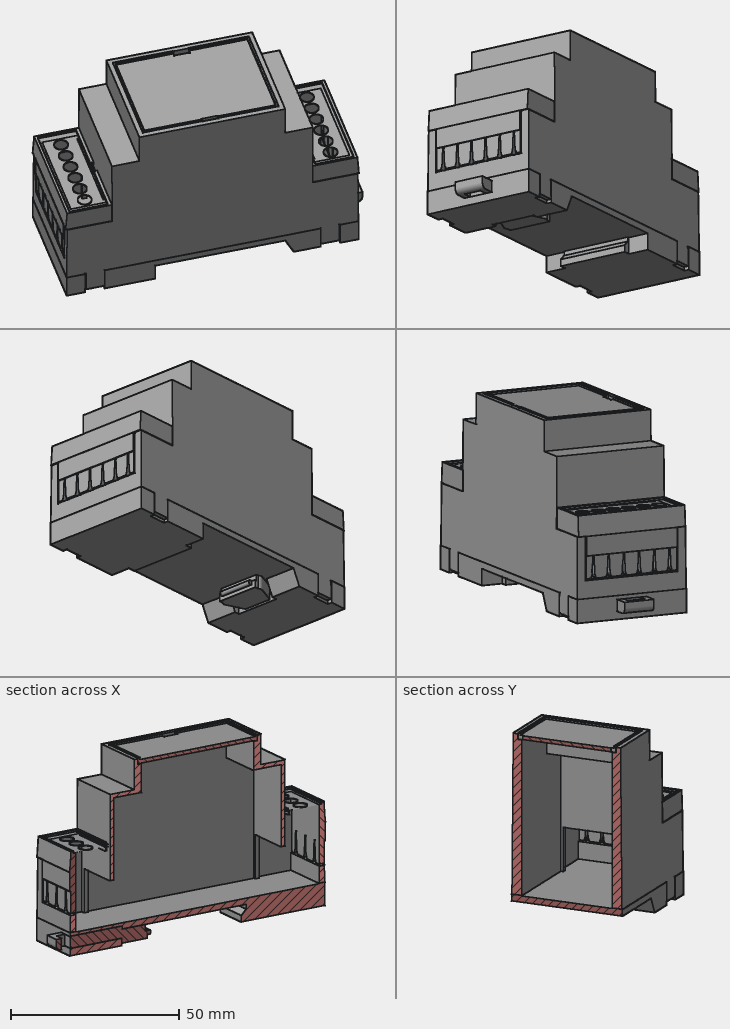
import cadquery as cq
import math


WIDTH = 36.4
LENGTH = 90.4
OVERALL_LENGTH = 95.6
DRAFT = math.tan(math.radians(0.5))
WALL = 1.4

BASE_TOP = 7.3
RAIL_ROOF = 5.2
COVER_SEAM = 26.2
COVER_TOP = 32.6
STEP_TOP = 48.1
CASE_TOP = 57.5
LID_TOP = 57.7

STEP_HALF_LENGTH = 31.1
TOWER_HALF_LENGTH = 22.6
CAVITY_HALF_WIDTH = 14.05
END_WALL_INNER = 43.1
PARTITION_BOTTOM = 21.0
LEG_BOTTOM = 1.05
LEG_INNER = 33.5
LEG_OUTER = 39.2
LEG_THICKNESS = 1.5
LEG_GAP = 0.3
WINDOW_HALF_WIDTH = 15.4
WINDOW_BOTTOM = 12.7

LID_HALF_WIDTH = 16.1
LID_HALF_LENGTH = 21.0
LID_THICKNESS = 1.9
LID_RIM = 0.7
LID_RECESS_DEPTH = 0.6
LID_LEDGE = 1.2
LID_NOTCH_DEPTH = 1.5
LID_NOTCH_LENGTH = 4.9

COVER_HALF_WIDTH = 17.8
COVER_END = 45.4
COVER_SLOPE = 0.5
COVER_RECESS_HALF_WIDTH = 17.1
COVER_RECESS_INNER = 32.1
COVER_RECESS_OUTER = 44.0
COVER_RECESS_DEPTH = 0.6
COVER_PLATE = 0.2
RIB_BOTTOM = 30.6
COVER_NOTCH_OUTER = 31.6
RIB_WIDTH = 0.6
COVER_NOTCH_WIDTH = 3.8
SCREW_HOLE_DIAMETER = 4.2
TERMINAL_COUNT = 6
TERMINAL_PITCH = 5.1
TERMINAL_Y = 38.0
PANEL_HALF_WIDTH = 15.0
PANEL_FACE = 45.3
PANEL_BOTTOM = 20.2
TOOTH_BOTTOM = 13.2
TOOTH_SETBACK = 0.3
SLOT_CORNER_HEIGHT = 1.1
SLOT_HALF_WIDTHS = (0.2, 0.5, 0.9)

CLIP_SIDE_FOOT = 25.0
CLIP_SIDE_ROOT = 22.5
HOOK_SIDE = -17.8
HOOK_HALF_WIDTH = 11.5
HOOK_NECK = -17.2
HOOK_TIP = -15.5
HOOK_NECK_BOTTOM = 3.8
HOOK_TIP_TOP = 2.1

CLIP_HALF_WIDTH = 4.9
CLIP_END = OVERALL_LENGTH - COVER_END
CLIP_BOTTOM = 2.5
CLIP_TOP = 6.1
CLIP_CORNER_RADIUS = 1.7
CLIP_HOLE_HALF_WIDTH = 2.8
CLIP_LOOP_THICKNESS = 2.0
HEAD_BOTTOM = 0.8
HEAD_BACK = 26.8
SHOULDER_HALF_WIDTH = 7.2
SHOULDER_START = 21.1
SHOULDER_END = 19.1
SHOULDER_BULGE = 0.3
TONGUE_HALF_WIDTH = 7.1
TONGUE_TIP = 18.4
LIP_TIP = 17.8
LIP_TOP = 3.25
NUB_DIAMETER = 1.5
NUB_Y = 17.2
NUB_HALF_WIDTH = 5.7
NUB_Z = 2.6


def block(x_min, x_max, y_min, y_max, z_min, z_max):
    """Axis-aligned block between two limits along each axis."""
    size = (x_max - x_min, y_max - y_min, z_max - z_min)
    return cq.Workplane("XY").box(*size, centered=False).translate((x_min, y_min, z_min))


def wide_block(half_width, y_min, y_max, z_min, z_max):
    """Block centred on the YZ plane."""
    return block(-half_width, half_width, y_min, y_max, z_min, z_max)


def centred_block(half_width, half_length, z_min, z_max):
    """Block centred on the Z axis."""
    return wide_block(half_width, -half_length, half_length, z_min, z_max)


def side_prism(points, half_width):
    """Prism with a (Y, Z) outline, centred on the YZ plane."""
    return cq.Workplane("YZ").polyline(points).close().extrude(half_width, both=True)


def both_ends(body):
    """The given shape and its mirror image at the other end of the length."""
    return [body, body.mirror("XZ")]


def drafted(half_size, z):
    """Half size at height z of a wall that leans inwards with height."""
    return half_size - z * DRAFT


def case_outline():
    """Stepped side profile, cut off by slightly leaning side walls."""
    half = [
        (drafted(LENGTH / 2, BASE_TOP), BASE_TOP),
        (drafted(LENGTH / 2, COVER_SEAM), COVER_SEAM),
        (STEP_HALF_LENGTH, COVER_SEAM),
        (STEP_HALF_LENGTH, STEP_TOP),
        (TOWER_HALF_LENGTH, STEP_TOP),
        (TOWER_HALF_LENGTH, CASE_TOP),
    ]
    profile = half + [(-y, z) for y, z in reversed(half)]
    body = side_prism(profile, WIDTH / 2)
    for leg in both_ends(wide_block(WIDTH / 2, LEG_INNER, LEG_OUTER, LEG_BOTTOM, BASE_TOP)):
        body = body.union(leg)
    body = body.cut(centred_block(WIDTH / 2 - LEG_THICKNESS, LENGTH / 2, 0, BASE_TOP))
    top_half_width = drafted(WIDTH / 2, CASE_TOP)
    leaning_sides = (
        cq.Workplane("XZ")
        .polyline(
            [
                (-WIDTH / 2, 0),
                (WIDTH / 2, 0),
                (top_half_width, CASE_TOP),
                (-top_half_width, CASE_TOP),
            ]
        )
        .close()
        .extrude(LENGTH / 2, both=True)
    )
    return body.intersect(leaning_sides)


def make_case():
    lid_bottom = LID_TOP - LID_THICKNESS
    opening_half_width = LID_HALF_WIDTH - LID_LEDGE
    opening_half_length = LID_HALF_LENGTH - LID_LEDGE
    body = case_outline()
    body = body.cut(
        centred_block(opening_half_width, STEP_HALF_LENGTH - WALL, BASE_TOP, STEP_TOP - WALL)
    )
    body = body.cut(centred_block(opening_half_width, opening_half_length, BASE_TOP, CASE_TOP))
    body = body.cut(centred_block(LID_HALF_WIDTH, LID_HALF_LENGTH, lid_bottom, LID_TOP))
    body = body.cut(
        centred_block(CAVITY_HALF_WIDTH, END_WALL_INNER, BASE_TOP, PARTITION_BOTTOM)
    )
    end_cavity = wide_block(
        WINDOW_HALF_WIDTH, STEP_HALF_LENGTH, END_WALL_INNER, BASE_TOP, COVER_SEAM
    )
    window = wide_block(
        WINDOW_HALF_WIDTH, END_WALL_INNER, LENGTH / 2, WINDOW_BOTTOM, COVER_SEAM
    )
    for opening in both_ends(end_cavity.union(window)):
        body = body.cut(opening)
    return body


def make_lid():
    bottom = LID_TOP - LID_THICKNESS
    body = centred_block(LID_HALF_WIDTH, LID_HALF_LENGTH, bottom, LID_TOP)
    recess = centred_block(
        LID_HALF_WIDTH - LID_RIM, LID_HALF_LENGTH - LID_RIM, LID_TOP - LID_RECESS_DEPTH, LID_TOP
    )
    body = body.cut(recess)
    notch = block(
        LID_HALF_WIDTH - LID_NOTCH_DEPTH,
        LID_HALF_WIDTH,
        -LID_NOTCH_LENGTH / 2,
        LID_NOTCH_LENGTH / 2,
        bottom,
        LID_TOP,
    )
    return body.cut(notch).cut(notch.mirror("YZ"))


def terminal_xs():
    """X of each terminal, evenly spaced about the middle."""
    first = -(TERMINAL_COUNT - 1) / 2 * TERMINAL_PITCH
    return [first + i * TERMINAL_PITCH for i in range(TERMINAL_COUNT)]


def cover_cap():
    """Hollow cap with a recessed top plate."""
    body = side_prism(
        [
            (STEP_HALF_LENGTH, COVER_SEAM),
            (COVER_END, COVER_SEAM),
            (COVER_END - COVER_SLOPE, COVER_TOP),
            (STEP_HALF_LENGTH, COVER_TOP),
        ],
        COVER_HALF_WIDTH,
    )
    recess_floor = COVER_TOP - COVER_RECESS_DEPTH
    plate_bottom = recess_floor - COVER_PLATE
    recess = wide_block(
        COVER_RECESS_HALF_WIDTH, COVER_RECESS_INNER, COVER_RECESS_OUTER, recess_floor, COVER_TOP
    )
    cavity = wide_block(
        WINDOW_HALF_WIDTH, STEP_HALF_LENGTH, END_WALL_INNER, COVER_SEAM, plate_bottom
    )
    body = body.cut(recess).cut(cavity)
    rib = wide_block(
        CAVITY_HALF_WIDTH,
        COVER_RECESS_INNER,
        COVER_RECESS_INNER + RIB_WIDTH,
        RIB_BOTTOM,
        plate_bottom,
    )
    notch = wide_block(
        COVER_NOTCH_WIDTH / 2,
        STEP_HALF_LENGTH,
        COVER_NOTCH_OUTER,
        plate_bottom,
        COVER_TOP,
    )
    screw_holes = (
        cq.Workplane("XY", origin=(0, 0, COVER_SEAM))
        .pushPoints([(x, TERMINAL_Y) for x in terminal_xs()])
        .circle(SCREW_HOLE_DIAMETER / 2)
        .extrude(COVER_TOP - COVER_SEAM)
    )
    return body.union(rib).cut(notch).cut(screw_holes)


def wire_slot(x):
    """Gap between two teeth, widening towards their rounded-off ends."""
    top, middle, bottom = SLOT_HALF_WIDTHS
    corner = TOOTH_BOTTOM + SLOT_CORNER_HEIGHT
    side = [(top, PANEL_BOTTOM), (middle, corner), (bottom, TOOTH_BOTTOM)]
    outline = side + [(-half, z) for half, z in reversed(side)]
    return (
        cq.Workplane("XZ")
        .polyline([(x + offset, z) for offset, z in outline])
        .close()
        .extrude(-PANEL_FACE)
    )


def make_cover():
    """Cover of the +Y end: cap, front panel and the teeth that hang from it."""
    body = cover_cap()
    panel = wide_block(PANEL_HALF_WIDTH, END_WALL_INNER, PANEL_FACE, PANEL_BOTTOM, COVER_SEAM)
    teeth = wide_block(
        PANEL_HALF_WIDTH, END_WALL_INNER, PANEL_FACE - TOOTH_SETBACK, TOOTH_BOTTOM, PANEL_BOTTOM
    )
    for x in terminal_xs():
        teeth = teeth.cut(wire_slot(x))
    return body.union(panel).union(teeth)


def make_base():
    """Solid foot with a rail channel, a fixed hook and a slide for the clip."""
    body = centred_block(WIDTH / 2, LENGTH / 2, 0, BASE_TOP)
    channel = side_prism(
        [
            (CLIP_SIDE_FOOT, 0),
            (CLIP_SIDE_ROOT, RAIL_ROOF),
            (HOOK_SIDE, RAIL_ROOF),
            (HOOK_SIDE, 0),
        ],
        WIDTH / 2,
    )
    hook = side_prism(
        [
            (HOOK_SIDE, 0),
            (HOOK_TIP, 0),
            (HOOK_TIP, HOOK_TIP_TOP),
            (HOOK_NECK, HOOK_NECK_BOTTOM),
            (HOOK_NECK, RAIL_ROOF),
            (HOOK_SIDE, RAIL_ROOF),
        ],
        HOOK_HALF_WIDTH,
    )
    body = body.cut(channel).union(hook)
    leg_slot = block(
        WIDTH / 2 - LEG_THICKNESS, WIDTH / 2, LEG_INNER, LEG_OUTER + LEG_GAP, 0, BASE_TOP
    )
    for slot in both_ends(leg_slot):
        body = body.cut(slot).cut(slot.mirror("YZ"))
    clip_slide = wide_block(CLIP_HALF_WIDTH, HEAD_BACK, LENGTH / 2, CLIP_BOTTOM, CLIP_TOP)
    head_pocket = wide_block(
        SHOULDER_HALF_WIDTH + SHOULDER_BULGE, CLIP_SIDE_ROOT, HEAD_BACK, 0, RAIL_ROOF
    )
    return body.cut(clip_slide).cut(head_pocket)


def make_clip():
    """Sliding rail clip: a shank with a pull loop, and a flared head with a lip."""
    body = wide_block(CLIP_HALF_WIDTH, HEAD_BACK, CLIP_END, CLIP_BOTTOM, CLIP_TOP)
    body = body.edges(">Y and <Z").fillet(CLIP_CORNER_RADIUS)
    pull_hole = wide_block(
        CLIP_HOLE_HALF_WIDTH, LENGTH / 2, CLIP_END - CLIP_LOOP_THICKNESS, CLIP_BOTTOM, CLIP_TOP
    )
    body = body.cut(pull_hole)
    bulge_x = SHOULDER_HALF_WIDTH + SHOULDER_BULGE
    bulge_y = (SHOULDER_START + SHOULDER_END) / 2
    head = (
        cq.Workplane("XY", origin=(0, 0, HEAD_BOTTOM))
        .moveTo(CLIP_HALF_WIDTH, HEAD_BACK)
        .lineTo(SHOULDER_HALF_WIDTH, SHOULDER_START)
        .threePointArc((bulge_x, bulge_y), (TONGUE_HALF_WIDTH, SHOULDER_END))
        .lineTo(TONGUE_HALF_WIDTH, TONGUE_TIP)
        .lineTo(-TONGUE_HALF_WIDTH, TONGUE_TIP)
        .lineTo(-TONGUE_HALF_WIDTH, SHOULDER_END)
        .threePointArc((-bulge_x, bulge_y), (-SHOULDER_HALF_WIDTH, SHOULDER_START))
        .lineTo(-CLIP_HALF_WIDTH, HEAD_BACK)
        .close()
        .extrude(RAIL_ROOF - HEAD_BOTTOM)
    )
    lip = wide_block(TONGUE_HALF_WIDTH, LIP_TIP, TONGUE_TIP, HEAD_BOTTOM, LIP_TOP)
    nub = (
        cq.Workplane("YZ")
        .center(NUB_Y, NUB_Z)
        .circle(NUB_DIAMETER / 2)
        .extrude(NUB_HALF_WIDTH, both=True)
    )
    return body.union(head).union(lip).union(nub)


case = make_case()
lid = make_lid()
covers = both_ends(make_cover())
base = make_base()
clip = make_clip()

bodies = [case, lid, *covers, base, clip]
result = cq.Compound.makeCompound([body.solids().val() for body in bodies])